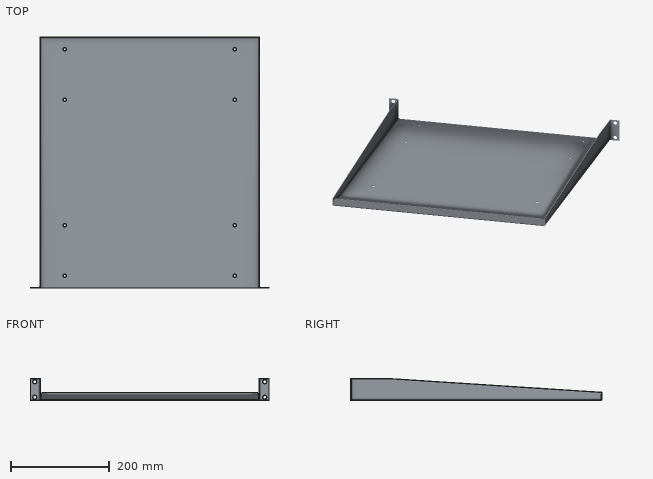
import cadquery as cq

total_width = 482.5
depth = 508.0
height = 43.5

sheet = 1.2
outer_bend = 2.5
inner_bend = outer_bend - sheet

tray_width = 445.0
rear_height = 16.5
level_length = 84.0
lip_gap = 0.5
lip_corner = 4.0

floor_hole_diameter = 6.0
floor_hole_spacing = 344.0
floor_hole_setback = 25.0
floor_hole_pitch = 102.0
ear_hole_diameter = 7.5
ear_hole_spacing_x = 465.5
ear_hole_spacing_z = 31.5

half_tray = tray_width / 2
half_inside = half_tray - sheet
half_lip = half_inside - lip_gap


def make_tray():
    """Floor with two tapered side walls, bent along the lower edges."""
    outside = (
        cq.Workplane("XY")
        .box(tray_width, depth, height, centered=(True, False, False))
        .edges("|Y and <Z").fillet(outer_bend)
    )
    inside = (
        cq.Workplane("XY", origin=(0, 0, sheet))
        .box(2 * half_inside, depth, height, centered=(True, False, False))
        .edges("|Y and <Z").fillet(inner_bend)
    )
    side_profile = (
        cq.Workplane("YZ")
        .polyline([(0, 0), (depth, 0), (depth, rear_height), (level_length, height), (0, height)])
        .close()
        .extrude(half_tray, both=True)
    )
    return outside.cut(inside).intersect(side_profile)


def make_rear_lip():
    """Upright lip bent up from the rear of the floor, with clipped upper corners."""
    bend_start = depth - outer_bend
    profile = (
        cq.Workplane("YZ")
        .moveTo(bend_start, 0)
        .radiusArc((depth, outer_bend), -outer_bend)
        .lineTo(depth, rear_height)
        .lineTo(depth - sheet, rear_height)
        .lineTo(depth - sheet, outer_bend)
        .radiusArc((bend_start, sheet), inner_bend)
        .close()
    )
    return profile.extrude(half_lip, both=True).edges("|Y and >Z").chamfer(lip_corner)


def make_right_ear():
    """Front mounting ear bent outward from the side wall."""
    bend_start = half_inside + outer_bend
    return (
        cq.Workplane("XY")
        .moveTo(half_inside, outer_bend)
        .radiusArc((bend_start, 0), -outer_bend)
        .lineTo(total_width / 2, 0)
        .lineTo(total_width / 2, sheet)
        .lineTo(bend_start, sheet)
        .radiusArc((half_tray, outer_bend), inner_bend)
        .close()
        .extrude(height)
    )


def make_floor_holes():
    """Four pairs of holes, two pairs near each end of the floor."""
    front_rows = [floor_hole_setback, floor_hole_setback + floor_hole_pitch]
    rows = front_rows + [depth - y for y in front_rows]
    centers = [(side * floor_hole_spacing / 2, y) for side in (-1, 1) for y in rows]
    return cq.Workplane("XY").pushPoints(centers).circle(floor_hole_diameter / 2).extrude(sheet)


def make_ear_holes():
    """Two mounting holes through each ear."""
    return (
        cq.Workplane("XZ", origin=(0, 0, height / 2))
        .rarray(ear_hole_spacing_x, ear_hole_spacing_z, 2, 2)
        .circle(ear_hole_diameter / 2)
        .extrude(-sheet)
    )


tray = make_tray()
front_wall_ends = (
    cq.Workplane("XY", origin=(0, 0, outer_bend))
    .rarray(tray_width - sheet, 5, 2, 1)
    .rect(sheet, 2 * outer_bend)
    .extrude(height)
)

rear_floor_edge = (
    cq.Workplane("XY", origin=(0, depth - outer_bend, 0))
    .box(2 * half_lip, outer_bend, rear_height, centered=(True, False, False))
)

right_ear = make_right_ear()
left_ear = right_ear.mirror("YZ")

result = (
    tray.cut(front_wall_ends)
    .cut(rear_floor_edge)
    .union(make_rear_lip())
    .union(right_ear)
    .union(left_ear)
    .cut(make_floor_holes())
    .cut(make_ear_holes())
)